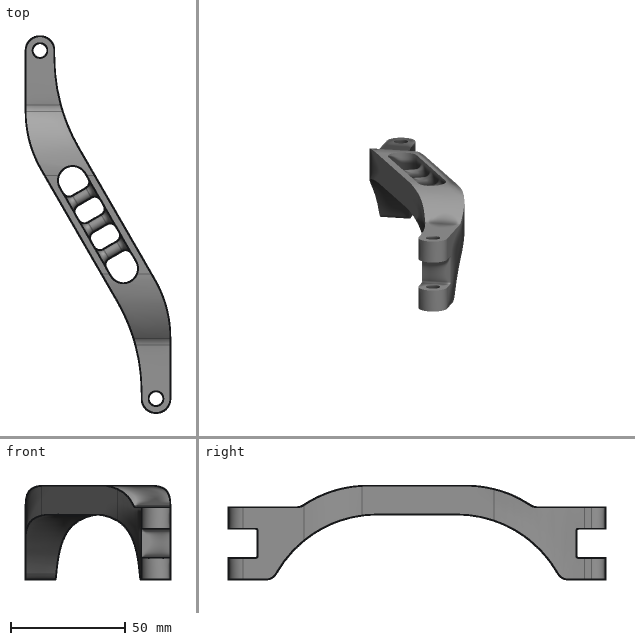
import cadquery as cq
import math

width_x = 63.5
length_y = 165.1
lug_height = 31.75
bridge_thickness = 12.7
arch_height = 28.45
total_height = arch_height + bridge_thickness

bar_tilt = math.radians(30)
bar_half_width = 9.525
lug_radius = 6.35
outer_bend_radius = 50.8
inner_bend_radius = 79.4
outer_x = width_x / 2
inner_x = outer_x - 2 * lug_radius
pin_y = length_y / 2 - lug_radius
pin_diameter = 6.35

arch_radius = 50.8
arch_flat_half_length = 17.4
shoulder_radius = 50.8
shoulder_flat_half_length = 21.5
lug_foot_radius = 5.08
shoulder_root_radius = 5.08

clevis_depth = 12.7
clevis_gap = 12.7
clevis_bottom = (lug_height - clevis_gap) / 2
clevis_corner_radius = 0.8

window_width = 12.7
window_centre_distance = 44.45
rung_diameter = 5.0
rung_pitch = 13.5
rung_count = 3
rung_row_shift = 0.6
rung_flare_radius = 3.0
rung_wall_overlap = 1.0
rung_z = arch_height + bridge_thickness / 2


def half_turn(point):
    return (-point[0], -point[1])


def bend_points(lug_x, bar_offset, radius):
    """Start, middle and end of the arc joining a lug side to a side of the bar, on the +Y half."""
    corner_y = (bar_offset - lug_x * math.cos(bar_tilt)) / math.sin(bar_tilt)
    tangent = radius * math.tan(bar_tilt / 2)
    centre_x = lug_x + radius
    centre_y = corner_y + tangent

    def on_arc(angle):
        return (centre_x - radius * math.cos(angle), centre_y - radius * math.sin(angle))

    return on_arc(0), on_arc(bar_tilt / 2), on_arc(bar_tilt)


def plan_body():
    outer_start, outer_mid, outer_end = bend_points(-outer_x, -bar_half_width, outer_bend_radius)
    inner_start, inner_mid, inner_end = bend_points(-inner_x, bar_half_width, inner_bend_radius)
    lug_tip = (-outer_x + lug_radius, length_y / 2)
    return (
        cq.Workplane("XY")
        .moveTo(-outer_x, pin_y)
        .lineTo(*outer_start)
        .threePointArc(outer_mid, outer_end)
        .lineTo(*half_turn(inner_end))
        .threePointArc(half_turn(inner_mid), half_turn(inner_start))
        .lineTo(inner_x, -pin_y)
        .threePointArc(half_turn(lug_tip), (outer_x, -pin_y))
        .lineTo(*half_turn(outer_start))
        .threePointArc(half_turn(outer_mid), half_turn(outer_end))
        .lineTo(*inner_end)
        .threePointArc(inner_mid, inner_start)
        .lineTo(-inner_x, pin_y)
        .threePointArc(lug_tip, (-outer_x, pin_y))
        .close()
        .extrude(total_height)
    )


def drop_arc(flat_half_length, flat_z, radius, end_z):
    """Middle and end of an arc leaving a flat tangentially and falling to end_z, on the +Y side."""
    end_angle = math.acos(1 - (flat_z - end_z) / radius)

    def on_arc(angle):
        return (flat_half_length + radius * math.sin(angle), flat_z - radius * (1 - math.cos(angle)))

    return on_arc(end_angle / 2), on_arc(end_angle)


def mirror_y(point):
    return (-point[0], point[1])


def side_body():
    arch_mid, arch_end = drop_arc(arch_flat_half_length, arch_height, arch_radius, 0)
    top_mid, top_end = drop_arc(shoulder_flat_half_length, total_height, shoulder_radius, lug_height)
    profile = (
        cq.Workplane("YZ")
        .moveTo(arch_flat_half_length, arch_height)
        .threePointArc(arch_mid, arch_end)
        .lineTo(length_y / 2, 0)
        .lineTo(length_y / 2, lug_height)
        .lineTo(*top_end)
        .threePointArc(top_mid, (shoulder_flat_half_length, total_height))
        .lineTo(-shoulder_flat_half_length, total_height)
        .threePointArc(mirror_y(top_mid), mirror_y(top_end))
        .lineTo(-length_y / 2, lug_height)
        .lineTo(-length_y / 2, 0)
        .lineTo(*mirror_y(arch_end))
        .threePointArc(mirror_y(arch_mid), (-arch_flat_half_length, arch_height))
        .close()
        .extrude(outer_x, both=True)
    )
    for side in (1, -1):
        foot = cq.selectors.NearestToPointSelector((0, side * arch_end[0], 0))
        profile = profile.edges(foot).fillet(lug_foot_radius)
        root = cq.selectors.NearestToPointSelector((0, side * top_end[0], lug_height))
        profile = profile.edges(root).fillet(shoulder_root_radius)
    return profile


def clevis_cut(side):
    return (
        cq.Workplane("XY")
        .box(width_x, 2 * clevis_depth, clevis_gap)
        .edges("|X")
        .fillet(clevis_corner_radius)
        .translate((0, side * length_y / 2, clevis_bottom + clevis_gap / 2))
    )


def pin_hole(side):
    return (
        cq.Workplane("XY")
        .center(-side * (outer_x - lug_radius), side * pin_y)
        .circle(pin_diameter / 2)
        .extrude(lug_height)
    )


def window_cut():
    bar_angle = 90 + math.degrees(bar_tilt)
    return (
        cq.Workplane("XY")
        .slot2D(window_centre_distance + window_width, window_width, bar_angle)
        .extrude(total_height)
    )


def rung(offset):
    """Round bar across the window with concave flares at both walls, at a distance along the bar."""
    rung_radius = rung_diameter / 2
    wall = window_width / 2
    end = wall + rung_wall_overlap
    flare_start = wall - rung_flare_radius
    flare_top = rung_radius + rung_flare_radius
    flare_sag = rung_flare_radius * (1 - math.sqrt(0.5))
    flare_mid = (wall - flare_sag, rung_radius + flare_sag)
    return (
        cq.Workplane("XY")
        .moveTo(-end, 0)
        .lineTo(-end, flare_top)
        .lineTo(-wall, flare_top)
        .threePointArc((-flare_mid[0], flare_mid[1]), (-flare_start, rung_radius))
        .lineTo(flare_start, rung_radius)
        .threePointArc(flare_mid, (wall, flare_top))
        .lineTo(end, flare_top)
        .lineTo(end, 0)
        .close()
        .revolve(360, (0, 0, 0), (1, 0, 0))
        .translate((0, offset, rung_z))
        .rotate((0, 0, 0), (0, 0, 1), math.degrees(bar_tilt))
    )


result = plan_body().intersect(side_body())
for lug_side in (1, -1):
    result = result.cut(clevis_cut(lug_side)).cut(pin_hole(lug_side))
result = result.cut(window_cut())
for index in range(rung_count):
    rung_offset = rung_row_shift + (index - (rung_count - 1) / 2) * rung_pitch
    result = result.union(rung(rung_offset))